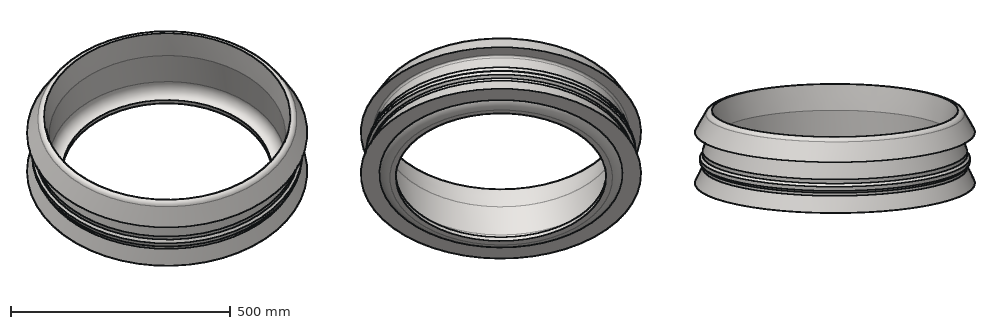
import cadquery as cq
import math

outer_radius = 320.0
height = 180.0

opening_radius = 240.0
bore_radius = 270.0
mouth_radius = 281.0
opening_height = 11.0
flare_start_z = 121.5
floor_round = bore_radius - opening_radius

skirt_bottom_z = 10.0
boss_bottom_radius = 254.0
boss_round = 32.0

collar_radius = 605.0 / 2
bead_radius = 617.0 / 2
collar_bottom_z = 47.0
collar_top_z = 85.0
bead_middle_z = 64.5
bead_width = 9.5
bead_base_width = 22.0

neck_radius = 288.5
neck_top_z = 123.5

upper_skirt_z = 129.0
rim_corner_radius = 291.0
rim_round = 15.5


def circle_point(center, radius, angle):
    """Point on a circle in the radius-height half plane, angle in radians."""
    return (center[0] + radius * math.cos(angle), center[1] + radius * math.sin(angle))


boss_center = (boss_bottom_radius, boss_round)
boss_start_angle = -math.pi / 2
boss_end_angle = -math.asin((boss_round - skirt_bottom_z) / boss_round)
boss_middle = circle_point(boss_center, boss_round, (boss_start_angle + boss_end_angle) / 2)
boss_end = circle_point(boss_center, boss_round, boss_end_angle)

neck_lean = math.atan2(collar_radius - neck_radius, neck_top_z - collar_top_z)
neck_round = (upper_skirt_z - neck_top_z) / (1 + math.sin(neck_lean))
neck_center = (neck_radius + neck_round * math.cos(neck_lean), upper_skirt_z - neck_round)
neck_start_angle = math.pi + neck_lean
neck_end_angle = math.pi / 2
neck_middle = circle_point(neck_center, neck_round, (neck_start_angle + neck_end_angle) / 2)
neck_end = circle_point(neck_center, neck_round, neck_end_angle)

skirt_slope = math.atan2(height - upper_skirt_z, outer_radius - rim_corner_radius)
rim_tangent_length = rim_round * math.tan(skirt_slope / 2)
rim_center = (rim_corner_radius - rim_tangent_length, height - rim_round)
rim_start_angle = math.pi / 2 - skirt_slope
rim_end_angle = math.pi / 2
rim_start = circle_point(rim_center, rim_round, rim_start_angle)
rim_middle = circle_point(rim_center, rim_round, (rim_start_angle + rim_end_angle) / 2)
rim_end = circle_point(rim_center, rim_round, rim_end_angle)

floor_center = (opening_radius, opening_height + floor_round)
floor_middle = circle_point(floor_center, floor_round, -math.pi / 4)

section = (
    cq.Workplane("XZ")
    .moveTo(opening_radius, 0)
    .lineTo(boss_bottom_radius, 0)
    .threePointArc(boss_middle, boss_end)
    .lineTo(outer_radius, skirt_bottom_z)
    .lineTo(collar_radius, collar_bottom_z)
    .lineTo(collar_radius, bead_middle_z - bead_base_width / 2)
    .lineTo(bead_radius, bead_middle_z - bead_width / 2)
    .lineTo(bead_radius, bead_middle_z + bead_width / 2)
    .lineTo(collar_radius, bead_middle_z + bead_base_width / 2)
    .lineTo(collar_radius, collar_top_z)
    .lineTo(neck_radius, neck_top_z)
    .threePointArc(neck_middle, neck_end)
    .lineTo(outer_radius, upper_skirt_z)
    .lineTo(*rim_start)
    .threePointArc(rim_middle, rim_end)
    .lineTo(mouth_radius, height)
    .lineTo(bore_radius, flare_start_z)
    .lineTo(bore_radius, opening_height + floor_round)
    .threePointArc(floor_middle, (opening_radius, opening_height))
    .close()
)

result = section.revolve(360, (0, 0, 0), (0, 1, 0))